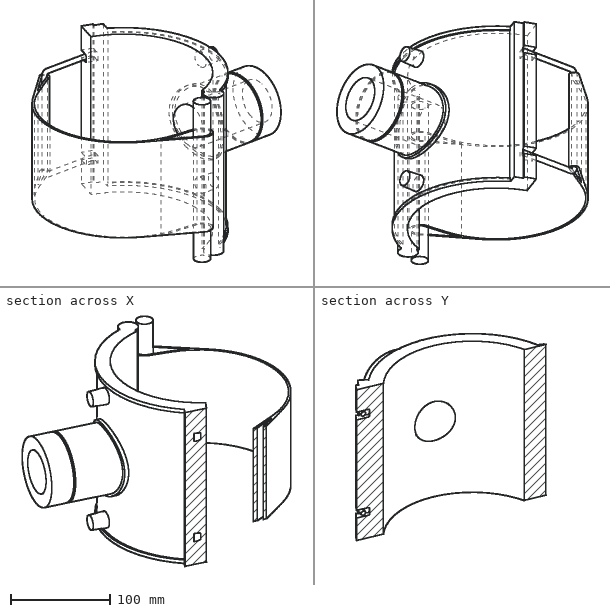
import cadquery as cq
import math

height = 176.0
bore_radius = 90.0
saddle_radius = 103.7
wall_middle_radius = (bore_radius + saddle_radius) / 2
rim_radius = 105.5
rim_width = 4.0
end_angle = 20.0

lug_reach = 117.3
lug_step_height = 12.8
lug_step_depth = 3.0
lug_height = 22.5
notch_floor = saddle_radius
notch_width = 8.5
notch_fillet = 1.4
notch_level = 57.2

barrel_radius = 10.3
barrel_distance = 103.5

branch_radius = 73.8 / 2
branch_bore_radius = 45.5 / 2
branch_end = 179.6
groove_radius = 72.7 / 2
groove_width = 2.0
groove_start = 153.2
collar_radius = 79.2 / 2
collar_height_radius = 107.8

stud_level = 70.5
stud_end = 120.9
stud_base_radius = 8.7
stud_tip_radius = 8.0

strap_thickness = 2.5
strap_outer_radius = bore_radius + strap_thickness
strap_width = 106.2
pin_center = (103.2, 14.7)
pin_radius = 8.7

wire_center = (-101.3, -17.1)
wire_radius = 2.7
wire_level = 57.7
wire_end = 51.7
wire_bend_radius = 4.0


def polar(radius, angle, center=(0, 0)):
    """Point at a radius and an angle in degrees about a centre."""
    a = math.radians(angle)
    return (center[0] + radius * math.cos(a), center[1] + radius * math.sin(a))


def ring_sector(inner, outer, start, end, length, center=(0, 0)):
    """Ring segment from start to end angle, extruded evenly about Z = 0."""
    middle = (start + end) / 2
    return (
        cq.Workplane("XY")
        .moveTo(*polar(inner, start, center))
        .lineTo(*polar(outer, start, center))
        .threePointArc(polar(outer, middle, center), polar(outer, end, center))
        .lineTo(*polar(inner, end, center))
        .threePointArc(polar(inner, middle, center), polar(inner, start, center))
        .close()
        .extrude(length / 2, both=True)
    )


def y_cylinder(radius, start, end):
    """Cylinder along +Y between two Y positions."""
    plane = cq.Plane(origin=(0, start, 0), xDir=(1, 0, 0), normal=(0, 1, 0))
    return cq.Workplane(plane).circle(radius).extrude(end - start)


def z_cylinder(radius, length, center):
    return cq.Workplane("XY").center(*center).circle(radius).extrude(length / 2, both=True)


def make_shell():
    start, end = end_angle, 180 - end_angle
    shell = ring_sector(bore_radius, saddle_radius, start, end, height)
    rim = ring_sector(bore_radius, rim_radius, start, end, rim_width)
    rim_level = (height - rim_width) / 2
    for level in (-rim_level, rim_level):
        shell = shell.union(rim.translate((0, 0, level)))
    barrel = z_cylinder(barrel_radius, height, polar(barrel_distance, end_angle))
    return shell.union(barrel)


def make_lug():
    """Stepped lug, drawn with its length along -X and then turned onto the saddle end."""
    step_reach = lug_reach - lug_step_depth
    lug = (
        cq.Workplane("XY")
        .polyline([
            (-wall_middle_radius, 0),
            (-lug_reach, 0),
            (-lug_reach, lug_step_height),
            (-step_reach, lug_step_height),
            (-step_reach, lug_height),
            (-wall_middle_radius, lug_height),
        ])
        .close()
        .extrude(height / 2, both=True)
    )
    notch_depth = lug_reach - notch_floor
    notch = (
        cq.Workplane("XY")
        .box(notch_depth, lug_step_height, notch_width, centered=(False, False, True))
        .edges(">X and |Y")
        .fillet(notch_fillet)
    )
    for level in (-notch_level, notch_level):
        lug = lug.cut(notch.translate((-lug_reach, 0, level)))
    return lug.rotate((0, 0, 0), (0, 0, 1), -end_angle)


def make_branch():
    branch = y_cylinder(branch_radius, bore_radius, branch_end)
    collar = y_cylinder(collar_radius, 0, branch_end)
    collar = collar.intersect(z_cylinder(collar_height_radius, height, (0, 0)))
    groove_end = groove_start + groove_width
    groove = y_cylinder(branch_radius, groove_start, groove_end)
    groove = groove.cut(y_cylinder(groove_radius, groove_start, groove_end))
    branch = branch.cut(groove).union(collar)
    return branch.cut(z_cylinder(wall_middle_radius, height, (0, 0)))


def make_stud(level):
    return (
        cq.Workplane("XY")
        .moveTo(0, wall_middle_radius)
        .lineTo(stud_base_radius, wall_middle_radius)
        .lineTo(stud_base_radius, saddle_radius)
        .lineTo(stud_tip_radius, stud_end)
        .lineTo(0, stud_end)
        .close()
        .revolve(360, (0, 0, 0), (0, 1, 0))
        .translate((0, 0, level))
    )


def loop_angles(center, inner, side):
    """Directions normal to the straight outer and inner legs of a strap loop."""
    distance = math.hypot(*center)
    direction = math.degrees(math.atan2(center[1], center[0])) % 360
    outer_gap = bore_radius - inner
    inner_gap = bore_radius + inner + strap_thickness
    outer_angle = direction - side * math.degrees(math.acos(outer_gap / distance))
    inner_angle = direction - side * math.degrees(math.acos(inner_gap / distance))
    return outer_angle, inner_angle


def leg(points):
    return cq.Workplane("XY").polyline(points).close().extrude(strap_width / 2, both=True)


def make_loop(center, inner, side):
    """Loop with two legs tangent to the strap; side is 1 on the right, -1 on the left."""
    outer = inner + strap_thickness
    outer_angle, inner_angle = loop_angles(center, inner, side)
    outer_leg = leg([
        polar(bore_radius, outer_angle),
        polar(strap_outer_radius, outer_angle),
        polar(outer, outer_angle, center),
        polar(inner, outer_angle, center),
    ])
    inner_leg = leg([
        polar(bore_radius, inner_angle),
        polar(strap_outer_radius, inner_angle),
        polar(inner, inner_angle + 180, center),
        polar(outer, inner_angle + 180, center),
    ])
    bend_end = inner_angle + side * 180
    bend = ring_sector(inner, outer, outer_angle, bend_end, strap_width, center)
    return bend.union(outer_leg).union(inner_leg)


def make_strap():
    left_end = loop_angles(wire_center, wire_radius, -1)[1]
    right_end = loop_angles(pin_center, pin_radius, 1)[1]
    right_end += 360 if right_end < left_end else 0
    strap = ring_sector(bore_radius, strap_outer_radius, left_end, right_end, strap_width)
    strap = strap.union(make_loop(pin_center, pin_radius, 1))
    return strap.union(make_loop(wire_center, wire_radius, -1))


def make_bail():
    """U-shaped wire: a crossbar in the strap loop and two arms into the lug notches."""
    x, y = wire_center
    bend_y = y + wire_bend_radius
    bend_z = wire_level - wire_bend_radius
    offset = wire_bend_radius * (1 - math.sqrt(0.5))
    path = (
        cq.Workplane("YZ", origin=(x, 0, 0))
        .moveTo(wire_end, -wire_level)
        .lineTo(bend_y, -wire_level)
        .threePointArc((y + offset, offset - wire_level), (y, -bend_z))
        .lineTo(y, bend_z)
        .threePointArc((y + offset, wire_level - offset), (bend_y, wire_level))
        .lineTo(wire_end, wire_level)
    )
    section = cq.Workplane("XZ", origin=(x, wire_end, -wire_level)).circle(wire_radius)
    return section.sweep(path)


branch_bore = y_cylinder(branch_bore_radius, 0, branch_end)
result = make_shell().union(make_lug()).union(make_branch())
for stud_position in (-stud_level, stud_level):
    result = result.union(make_stud(stud_position))
result = result.cut(branch_bore)
result = result.union(make_strap())
result = result.union(z_cylinder(pin_radius, height, pin_center))
result = result.union(make_bail())